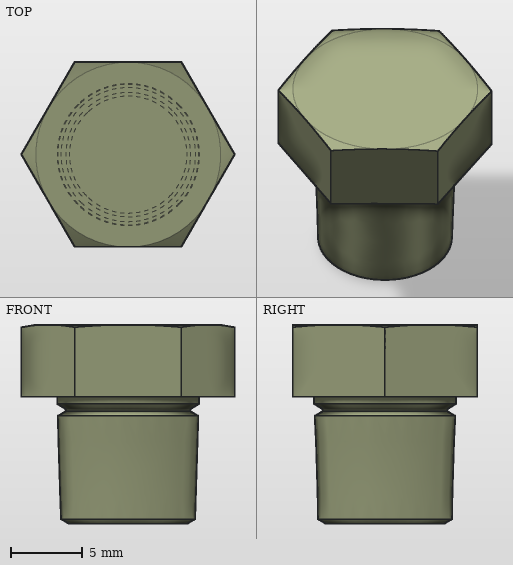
import cadquery as cq
import math

corner_width = 15.01
head_height = 5.07
head_chamfer_angle = 10.0
shank_length = 8.93
collar_radius = 5.0
collar_height = 0.5
groove_height = 0.84
groove_root_radius = 4.38
groove_root_fillet = 0.12
flank_angle = 30.0
thread_top_radius = 4.95
taper_ratio = 1 / 16
tip_chamfer_height = 0.35

corner_radius = corner_width / 2
flat_radius = corner_radius * math.cos(math.radians(30))
head_chamfer_drop = (corner_radius - flat_radius) * math.tan(math.radians(head_chamfer_angle))
flank_slope = math.tan(math.radians(flank_angle))

groove_top = -collar_height
thread_top = groove_top - groove_height
thread_bottom = -shank_length + tip_chamfer_height
thread_bottom_radius = thread_top_radius - (thread_top - thread_bottom) * taper_ratio / 2
tip_radius = thread_bottom_radius - tip_chamfer_height / flank_slope

fillet_centre_radius = groove_root_radius + groove_root_fillet
flank_sin = math.sin(math.radians(flank_angle))
flank_cos = math.cos(math.radians(flank_angle))
fillet_start_radius = fillet_centre_radius - groove_root_fillet * flank_sin
fillet_start = groove_top - (collar_radius - fillet_start_radius) * flank_slope
fillet_end = fillet_start - groove_root_fillet * flank_cos

root_bottom = thread_top + (thread_top_radius - groove_root_radius) * flank_slope


def make_head():
    """Hexagonal head with its upper corners turned to a shallow cone."""
    hexagon = cq.Workplane("XY").polygon(6, corner_width).extrude(head_height)
    turned_envelope = (
        cq.Workplane("XZ")
        .lineTo(corner_radius, 0)
        .lineTo(corner_radius, head_height - head_chamfer_drop)
        .lineTo(flat_radius, head_height)
        .lineTo(0, head_height)
        .close()
        .revolve(360, (0, 0, 0), (0, 1, 0))
    )
    return hexagon.intersect(turned_envelope)


def make_shank():
    """Collar, relief groove and tapered thread body as one turned profile."""
    return (
        cq.Workplane("XZ")
        .lineTo(collar_radius, 0)
        .lineTo(collar_radius, groove_top)
        .lineTo(fillet_start_radius, fillet_start)
        .tangentArcPoint((groove_root_radius, fillet_end), relative=False)
        .lineTo(groove_root_radius, root_bottom)
        .lineTo(thread_top_radius, thread_top)
        .lineTo(thread_bottom_radius, thread_bottom)
        .lineTo(tip_radius, -shank_length)
        .lineTo(0, -shank_length)
        .close()
        .revolve(360, (0, 0, 0), (0, 1, 0))
    )


result = make_head().union(make_shank())